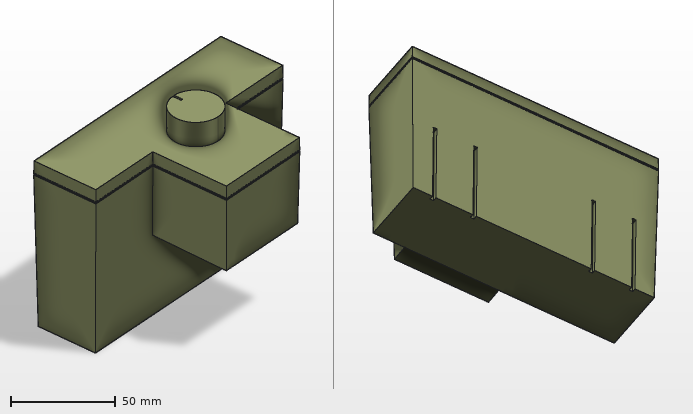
import cadquery as cq
import math

draft = 1.0
total_length_x = 85.0
bar_length_y = 140.0
bar_width_x = 38.9
wing_width_y = 54.9
total_height = 109.7

knob_to_back = 42.8
knob_radius = 14.0
knob_height = 14.0
pointer_length = 5.2
pointer_width = 1.1

lid_thickness = 7.3
seam_height = 0.8
seam_recess = 0.5

wing_underside_z = 47.0
rib_slot_width = 2.0
rib_slot_depth = 2.1
rib_slot_offsets_y = (33.6, 56.5)

back_x = -knob_to_back
bar_front_x = back_x + bar_width_x
wing_front_x = back_x + total_length_x
lid_top_z = total_height - knob_height
lid_bottom_z = lid_top_z - lid_thickness
body_top_z = lid_bottom_z - seam_height
draft_slope = math.tan(math.radians(draft))


def rectangle(z, x_min, x_max, width_y):
    """Rectangle at height z, centred on Y = 0."""
    return cq.Workplane("XY", origin=((x_min + x_max) / 2, 0, z)).rect(x_max - x_min, width_y)


def tee_outline(z, inset=0.0):
    """T-shaped outline at height z, moved inwards by inset."""
    x_back = back_x + inset
    x_step = bar_front_x - inset
    x_front = wing_front_x - inset
    y_bar = bar_length_y / 2 - inset
    y_wing = wing_width_y / 2 - inset
    points = [
        (x_back, -y_bar),
        (x_step, -y_bar),
        (x_step, -y_wing),
        (x_front, -y_wing),
        (x_front, y_wing),
        (x_step, y_wing),
        (x_step, y_bar),
        (x_back, y_bar),
    ]
    return cq.Workplane("XY", origin=(0, 0, z)).polyline(points).close()


def make_body():
    """Deep bar and shallower wing, both narrowing downwards."""
    bar = rectangle(body_top_z, back_x, bar_front_x, bar_length_y).extrude(-body_top_z, taper=draft)
    wing = rectangle(body_top_z, back_x, wing_front_x, wing_width_y).extrude(-body_top_z, taper=draft)

    bar_mid_x = (back_x + bar_front_x) / 2
    underside = [
        (bar_mid_x, 0),
        (wing_front_x, 0),
        (wing_front_x, wing_underside_z - draft_slope * (wing_front_x - bar_front_x)),
        (bar_mid_x, wing_underside_z + draft_slope * (bar_front_x - bar_mid_x)),
    ]
    below_wing = cq.Workplane("XZ").polyline(underside).close().extrude(wing_width_y, both=True)
    return bar.union(wing.cut(below_wing))


def cut_rib_slots(body):
    """Vertical slots in the back face, open at the underside and as tall as the space below the wing."""
    back_x_at_bottom = back_x + body_top_z * draft_slope
    slot_floor_x = back_x_at_bottom + rib_slot_depth
    for offset in rib_slot_offsets_y:
        for side in (-1, 1):
            slot = cq.Workplane("XY").box(
                slot_floor_x - back_x, rib_slot_width, wing_underside_z, centered=(False, True, False)
            )
            body = body.cut(slot.translate((back_x, side * offset, 0)))
    return body


def make_seam():
    """Recessed band between body and lid."""
    return tee_outline(body_top_z, seam_recess).extrude(seam_height)


def make_lid():
    """Lid that narrows upwards from the seam."""
    return tee_outline(lid_bottom_z).extrude(lid_thickness, taper=draft)


def make_knob():
    """Round knob with a pointer slot on the back side, down to the lid."""
    knob = cq.Workplane("XY", origin=(0, 0, lid_top_z)).circle(knob_radius).extrude(knob_height)
    pointer = cq.Workplane("XY", origin=(-knob_radius, 0, lid_top_z)).box(
        pointer_length, pointer_width, knob_height, centered=(False, True, False)
    )
    return knob.cut(pointer)


body = cut_rib_slots(make_body())
result = body.union(make_seam()).union(make_lid()).union(make_knob())